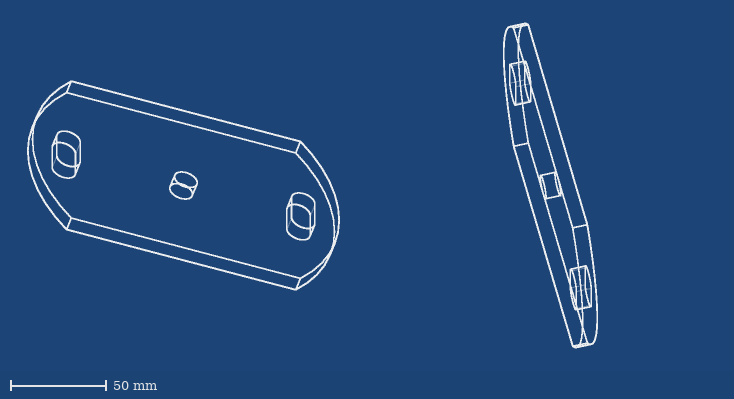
import cadquery as cq

length = 170.0
height = 120.0
thickness = 8.0
flat_edge_length = 127.0

hole_diameter = 12.5
slot_width = 13.0
slot_height = 30.0
slot_spacing = 130.0


def make_plate():
    """Upright plate centred on the origin, with arc-shaped ends."""
    half_flat = flat_edge_length / 2
    half_length = length / 2
    half_height = height / 2
    return (
        cq.Workplane("XZ", origin=(0, thickness / 2, 0))
        .moveTo(-half_flat, half_height)
        .lineTo(half_flat, half_height)
        .threePointArc((half_length, 0), (half_flat, -half_height))
        .lineTo(-half_flat, -half_height)
        .threePointArc((-half_length, 0), (-half_flat, half_height))
        .close()
        .extrude(thickness)
    )


def cut_centre_hole(plate):
    """Round hole through the middle of the plate."""
    return plate.faces("<Y").workplane(origin=(0, 0, 0)).hole(hole_diameter)


def cut_end_slots(plate):
    """Upright rounded slot near each end."""
    return (
        plate.faces("<Y")
        .workplane(origin=(0, 0, 0))
        .pushPoints([(-slot_spacing / 2, 0), (slot_spacing / 2, 0)])
        .slot2D(slot_height, slot_width, angle=90)
        .cutThruAll()
    )


result = cut_end_slots(cut_centre_hole(make_plate()))